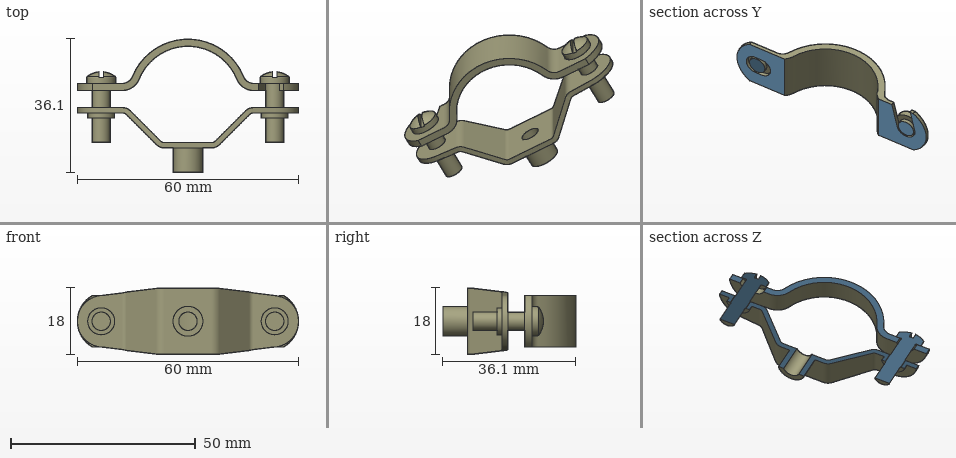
import cadquery as cq
import math


length = 59.95
half_length = length / 2
screw_x = 23.5
half_gap = 2.3

arch_thickness = 2.0
arch_width = 14.0
arch_inner_radius = 14.25
arch_outer_radius = arch_inner_radius + arch_thickness
arch_bend_inner = 3.0
arch_bend_outer = arch_bend_inner + arch_thickness
arch_ear_outside = half_gap + arch_thickness
arch_end_radius = 8.05
arch_end_center = half_length - arch_end_radius

slot_width = 5.5
closed_slot_start = 24.1
closed_slot_end = 22.1
open_slot_tilt = 12.5

crank_thickness = 1.5
crank_width = 18.0
crank_bend_inner = 1.5
crank_bend_outer = crank_bend_inner + crank_thickness
crank_angle = 45.0
crank_ear_bottom = -half_gap - crank_thickness
saddle_top = -11.75
saddle_bottom = saddle_top - crank_thickness
crank_end_radius = 7.0
crank_end_center = half_length - crank_end_radius
saddle_bend_x = 6.4
saddle_bend_y = saddle_top + crank_bend_inner
ear_bend_y = crank_ear_bottom - crank_bend_inner

boss_diameter = 8.1
boss_bottom = -19.85
boss_bore = 5.0
collar_diameter = 7.3
collar_height = 1.4

shank_diameter = 5.0
screw_tip = saddle_top
head_diameter = 7.9
head_rim_height = 1.45
dome_start_height = 1.8
dome_start_radius = 3.9
head_height = 3.2
driver_slot_width = 1.15
driver_slot_floor = 1.6

margin = 0.6


def cylinder_along_y(x, y_start, y_end, diameter):
    """Solid cylinder parallel to Y between two Y levels, centred on Z = 0."""
    low, high = sorted((y_start, y_end))
    return cq.Workplane("XZ", origin=(x, low, 0)).circle(diameter / 2).extrude(low - high)



arch_bend_y = arch_ear_outside + arch_bend_inner
arch_bend_x = math.sqrt((arch_outer_radius + arch_bend_inner) ** 2 - arch_bend_y ** 2)
arch_joint_angle = math.atan2(arch_bend_y, arch_bend_x)


def on_arch(radius, angle):
    return radius * math.cos(angle), radius * math.sin(angle)


def on_arch_bend(radius, angle):
    """Point on the right-hand bend, with the angle measured from straight down."""
    return arch_bend_x - radius * math.sin(angle), arch_bend_y - radius * math.cos(angle)


def mirrored(point):
    return -point[0], point[1]


def arch_surface(profile, arch_radius, bend_radius, rightward):
    """Add the arch and its two bends to a profile that stands at one ear."""
    bend_sweep = math.pi / 2 - arch_joint_angle
    right = [
        on_arch_bend(bend_radius, 0),
        on_arch_bend(bend_radius, bend_sweep / 2),
        on_arch(arch_radius, arch_joint_angle),
    ]
    left = [mirrored(point) for point in right]
    first, last = (left, right) if rightward else (right, left)
    return (
        profile.lineTo(*first[0])
        .threePointArc(first[1], first[2])
        .threePointArc((0, arch_radius), last[2])
        .threePointArc(last[1], last[0])
    )


def arch_envelope():
    """Bound of the arched strap: a flat-sided bar whose ends are shallow arcs."""
    half_width = arch_width / 2
    corner_x = arch_end_center + math.sqrt(arch_end_radius ** 2 - half_width ** 2)
    return (
        cq.Workplane("XZ", origin=(0, half_gap - margin, 0))
        .moveTo(-corner_x, half_width)
        .lineTo(corner_x, half_width)
        .threePointArc((half_length, 0), (corner_x, -half_width))
        .lineTo(-corner_x, -half_width)
        .threePointArc((-half_length, 0), (-corner_x, half_width))
        .close()
        .extrude(-(arch_outer_radius + margin))
    )


def ear_slot_cutter(x_center, slot_length, angle):
    """Cutter for a round-ended slot through an arched strap ear."""
    return (
        cq.Workplane("XZ", origin=(x_center, half_gap - margin, 0))
        .slot2D(slot_length, slot_width, angle)
        .extrude(-(arch_thickness + 2 * margin))
    )


def make_arched_strap():
    profile = cq.Workplane("XY", origin=(0, 0, -arch_width / 2)).moveTo(-half_length, arch_ear_outside)
    profile = arch_surface(profile, arch_outer_radius, arch_bend_inner, rightward=True)
    profile = profile.lineTo(half_length, arch_ear_outside).lineTo(half_length, half_gap)
    profile = arch_surface(profile, arch_inner_radius, arch_bend_outer, rightward=False)
    strap = profile.lineTo(-half_length, half_gap).close().extrude(arch_width)
    strap = strap.intersect(arch_envelope())

    closed_slot_center = (closed_slot_start + closed_slot_end) / 2
    closed_slot_length = closed_slot_start - closed_slot_end + slot_width
    strap = strap.cut(ear_slot_cutter(-closed_slot_center, closed_slot_length, 0))

    open_reach = arch_width
    tilt = math.radians(open_slot_tilt)
    slot = ear_slot_cutter(0, open_reach + slot_width, 90 + open_slot_tilt)
    slot = slot.translate((
        screw_x - open_reach / 2 * math.sin(tilt),
        0,
        open_reach / 2 * math.cos(tilt),
    ))
    return strap.cut(slot)



bend_sine = math.sin(math.radians(crank_angle))
bend_cosine = math.cos(math.radians(crank_angle))

bend_drop = ear_bend_y - saddle_bend_y
bend_radii = crank_bend_outer + crank_bend_inner
ear_bend_x = saddle_bend_x + (bend_drop * bend_cosine + bend_radii) / bend_sine

taper_start_x = saddle_bend_x + crank_bend_inner * math.tan(math.radians(crank_angle / 2))
taper_run = crank_end_center - taper_start_x
taper_angle = math.atan2(crank_width / 2, taper_run) - math.asin(
    crank_end_radius / math.hypot(taper_run, crank_width / 2)
)


def taper_half_width(x):
    return crank_width / 2 - (x - taper_start_x) * math.tan(taper_angle)


def on_ear_bend(radius, degrees):
    """Point on the right-hand ear bend, with the angle measured from straight up."""
    angle = math.radians(degrees)
    return ear_bend_x - radius * math.sin(angle), ear_bend_y + radius * math.cos(angle)


def on_saddle_bend(radius, degrees):
    """Point on the right-hand saddle bend, with the angle measured from straight down."""
    angle = math.radians(degrees)
    return saddle_bend_x + radius * math.sin(angle), saddle_bend_y - radius * math.cos(angle)


def crank_half_sheet():
    """Right half of the cranked sheet at full width, before its edges are tapered."""
    half = crank_angle / 2
    return (
        cq.Workplane("XY", origin=(0, 0, -crank_width / 2))
        .moveTo(0, saddle_top)
        .lineTo(*on_saddle_bend(crank_bend_inner, 0))
        .threePointArc(on_saddle_bend(crank_bend_inner, half), on_saddle_bend(crank_bend_inner, crank_angle))
        .lineTo(*on_ear_bend(crank_bend_outer, crank_angle))
        .threePointArc(on_ear_bend(crank_bend_outer, half), on_ear_bend(crank_bend_outer, 0))
        .lineTo(half_length, -half_gap)
        .lineTo(half_length, crank_ear_bottom)
        .lineTo(*on_ear_bend(crank_bend_inner, 0))
        .threePointArc(on_ear_bend(crank_bend_inner, half), on_ear_bend(crank_bend_inner, crank_angle))
        .lineTo(*on_saddle_bend(crank_bend_outer, crank_angle))
        .threePointArc(on_saddle_bend(crank_bend_outer, half), on_saddle_bend(crank_bend_outer, 0))
        .lineTo(0, saddle_bottom)
        .close()
        .extrude(crank_width)
    )


def cross_section(point_on_bend, degrees, half_width):
    """Rectangle square to the sheet, a margin thicker than it on both faces."""
    near = point_on_bend(crank_bend_inner - margin, degrees)
    far = point_on_bend(crank_bend_outer + margin, degrees)
    corners = [(*near, half_width), (*far, half_width), (*far, -half_width), (*near, -half_width)]
    return cq.Wire.makePolygon([cq.Vector(*corner) for corner in corners], close=True)


def saddle_envelope():
    """Full-width bound of the right half of the saddle, mitred halfway round its bend."""
    half = crank_angle / 2
    return (
        cq.Workplane("XY", origin=(0, 0, -crank_width / 2))
        .moveTo(0, saddle_top + margin)
        .lineTo(saddle_bend_x, saddle_top + margin)
        .lineTo(*on_saddle_bend(crank_bend_inner - margin, half))
        .lineTo(*on_saddle_bend(crank_bend_outer + margin, half))
        .lineTo(saddle_bend_x, saddle_bottom - margin)
        .lineTo(0, saddle_bottom - margin)
        .close()
        .extrude(crank_width)
    )


def ear_envelope():
    """Tapered and round-ended bound of the right ear."""
    tangent_x = crank_end_center + crank_end_radius * math.sin(taper_angle)
    tangent_z = crank_end_radius * math.cos(taper_angle)
    ear_half_width = taper_half_width(ear_bend_x)
    return (
        cq.Workplane("XZ", origin=(0, -half_gap + margin, 0))
        .moveTo(ear_bend_x, ear_half_width)
        .lineTo(tangent_x, tangent_z)
        .threePointArc((half_length, 0), (tangent_x, -tangent_z))
        .lineTo(ear_bend_x, -ear_half_width)
        .close()
        .extrude(crank_thickness + 2 * margin)
    )


def leg_envelope():
    """Tapered bound of the right sloping leg and the bends at its ends, square to the sheet."""
    leg_bottom_x = on_saddle_bend(crank_bend_inner, crank_angle)[0]
    leg_top_x = on_ear_bend(crank_bend_outer, crank_angle)[0]
    sections = [
        cross_section(on_saddle_bend, crank_angle / 2, crank_width / 2),
        cross_section(on_saddle_bend, crank_angle, taper_half_width(leg_bottom_x)),
        cross_section(on_ear_bend, crank_angle, taper_half_width(leg_top_x)),
        cross_section(on_ear_bend, 0, taper_half_width(ear_bend_x)),
    ]
    return [cq.Solid.makeLoft([a, b], True) for a, b in zip(sections, sections[1:])]


def make_cranked_strap():
    sheet = crank_half_sheet()
    envelopes = [saddle_envelope().val(), *leg_envelope(), ear_envelope().val()]
    half = cq.Workplane("XY")
    for envelope in envelopes:
        half = half.union(sheet.intersect(cq.Workplane(envelope)))
    strap = half.union(half.mirror("YZ"))

    strap = strap.union(cylinder_along_y(0, saddle_bottom, boss_bottom, boss_diameter))
    strap = strap.cut(cylinder_along_y(0, saddle_top + margin, boss_bottom - margin, boss_bore))

    collar_bottom = crank_ear_bottom - collar_height
    for x in (-screw_x, screw_x):
        strap = strap.union(cylinder_along_y(x, crank_ear_bottom, collar_bottom, collar_diameter))
        strap = strap.cut(cylinder_along_y(x, 0, collar_bottom - margin, shank_diameter))
    return strap



def make_screw(x):
    """Round-headed slotted screw whose head sits on the arched strap's ear."""
    head_base = arch_ear_outside
    dome_rise = head_height - dome_start_height
    dome_radius = (dome_start_radius ** 2 + dome_rise ** 2) / (2 * dome_rise)
    mid_radius = dome_start_radius / 2
    mid_height = head_height - dome_radius + math.sqrt(dome_radius ** 2 - mid_radius ** 2)
    screw = (
        cq.Workplane("XY")
        .moveTo(0, screw_tip)
        .lineTo(shank_diameter / 2, screw_tip)
        .lineTo(shank_diameter / 2, head_base)
        .lineTo(head_diameter / 2, head_base)
        .lineTo(head_diameter / 2, head_base + head_rim_height)
        .lineTo(dome_start_radius, head_base + dome_start_height)
        .threePointArc((mid_radius, head_base + mid_height), (0, head_base + head_height))
        .close()
        .revolve(360, (0, 0, 0), (0, 1, 0))
    )
    driver_slot = (
        cq.Workplane("XY")
        .box(driver_slot_width, head_height, head_diameter + margin, centered=(True, False, True))
        .translate((0, head_base + driver_slot_floor, 0))
    )
    return screw.cut(driver_slot).translate((x, 0, 0))


arched_strap = make_arched_strap()
cranked_strap = make_cranked_strap()
screws = [make_screw(x) for x in (-screw_x, screw_x)]

result = cq.Compound.makeCompound(
    [arched_strap.val(), cranked_strap.val(), *[screw.val() for screw in screws]]
)